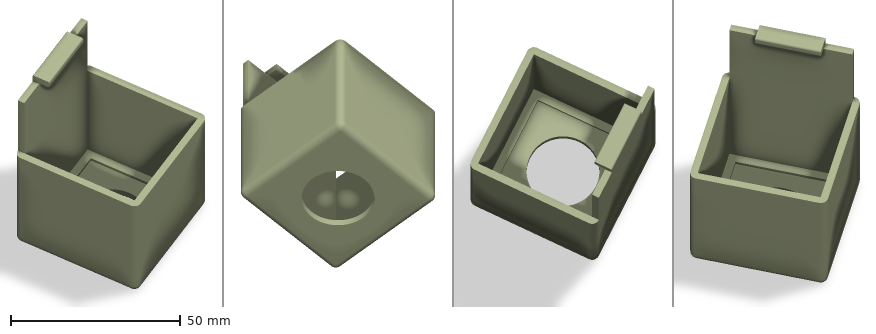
import cadquery as cq

side = 41.9
box_height = 38.1
wall = 2.2
corner_radius = wall
bottom_radius = 2.15
inner_side = side - 2 * wall

ledge_width = 2.5
recess_side = inner_side - 2 * ledge_width
floor_thickness = wall
recess_depth = 1.0
ledge_height = floor_thickness + recess_depth
hole_diameter = 21.5

total_height = 63.1
panel_top = 60.4
tab_width = 20.1
tab_reach = 5.75
tab_thickness = 2.35
tab_edge_radius = 0.55


def block(length, width, bottom, top):
    """Block centred on the Z axis between two heights."""
    return (
        cq.Workplane("XY")
        .workplane(offset=bottom)
        .rect(length, width)
        .extrude(top - bottom)
    )


def make_box():
    shell = block(side, side, 0, box_height)
    shell = shell.edges("|Z").fillet(corner_radius)
    shell = shell.faces("<Z").edges().fillet(bottom_radius)
    shell = shell.cut(block(inner_side, inner_side, ledge_height, box_height))
    shell = shell.cut(block(recess_side, recess_side, floor_thickness, ledge_height))
    return shell.cut(cq.Workplane("XY").circle(hole_diameter / 2).extrude(box_height))


def make_panel():
    """Flat extension of the -X wall, between the rounded corners."""
    panel = block(wall, inner_side, ledge_height, panel_top)
    return panel.translate(((wall - side) / 2, 0, 0))


def make_tab():
    """Short upright on the panel ending in a lip that reaches over the box."""
    upright = block(wall, tab_width, box_height, total_height - tab_edge_radius)
    upright = upright.translate(((wall - side) / 2, 0, 0))
    lip = block(tab_reach, tab_width, total_height - tab_thickness, total_height)
    lip = lip.translate(((tab_reach - side) / 2, 0, 0))
    lip = lip.edges("|Y").fillet(tab_edge_radius)
    return upright.union(lip)


result = make_box().union(make_panel()).union(make_tab())